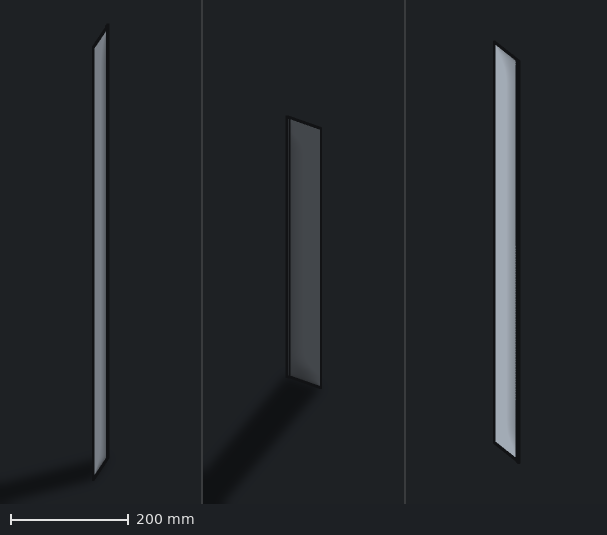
import cadquery as cq

LENGTH = 1000.0
SHEET_THICKNESS = 1.0
FOLD_GAP = 0.1
SHEET_FLAT = 62.0
FLAP_FLAT = 5.0

inner_radius = FOLD_GAP / 2
outer_radius = inner_radius + SHEET_THICKNESS
total_width = SHEET_FLAT + outer_radius

sheet_edge = -total_width / 2
fold_axis = sheet_edge + SHEET_FLAT
flap_edge = fold_axis - FLAP_FLAT


def folded_section():
    """Closed section in XY: the sheet on the +X side, the fold, and the flap on the -X side."""
    return (
        cq.Workplane("XY")
        .workplane(offset=-LENGTH / 2)
        .moveTo(outer_radius, sheet_edge)
        .lineTo(outer_radius, fold_axis)
        .threePointArc((0, fold_axis + outer_radius), (-outer_radius, fold_axis))
        .lineTo(-outer_radius, flap_edge)
        .lineTo(-inner_radius, flap_edge)
        .lineTo(-inner_radius, fold_axis)
        .threePointArc((0, fold_axis + inner_radius), (inner_radius, fold_axis))
        .lineTo(inner_radius, sheet_edge)
        .close()
    )


result = folded_section().extrude(LENGTH)